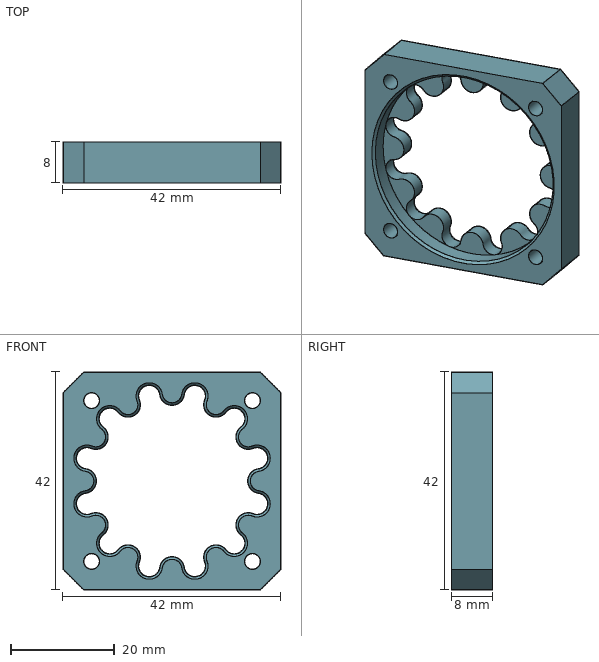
import cadquery as cq
import math

side = 42.0
thickness = 8.0
corner_cut = 4.0

hole_diameter = 3.0
hole_spacing = 31.0

lobe_count = 12
bore_diameter = 38.0
pitch_radius = 16.95
notch_radius = bore_diameter / 2 - pitch_radius
half_pitch = math.pi / lobe_count
center_distance = 2 * pitch_radius * math.sin(half_pitch / 2)
tooth_radius = center_distance - notch_radius
lobe_depth = thickness / 2

rim_chamfer = 0.5


def polar(radius, angle):
    return (radius * math.cos(angle), radius * math.sin(angle))


def tangent_point(notch_angle, tooth_angle):
    """Point where a notch arc meets the neighbouring tooth arc."""
    notch_x, notch_z = polar(pitch_radius, notch_angle)
    tooth_x, tooth_z = polar(pitch_radius, tooth_angle)
    share = notch_radius / center_distance
    return (notch_x + share * (tooth_x - notch_x), notch_z + share * (tooth_z - notch_z))


def lobed_outline(workplane):
    """Closed outline alternating outward notches and inward teeth."""
    outline = workplane.moveTo(*tangent_point(half_pitch, 0))
    for index in range(lobe_count):
        notch_angle = (2 * index + 1) * half_pitch
        tooth_angle = notch_angle + half_pitch
        next_notch_angle = tooth_angle + half_pitch
        outline = outline.threePointArc(
            polar(pitch_radius + notch_radius, notch_angle),
            tangent_point(notch_angle, tooth_angle),
        )
        outline = outline.threePointArc(
            polar(pitch_radius - tooth_radius, tooth_angle),
            tangent_point(next_notch_angle, tooth_angle),
        )
    return outline.close()


def make_body():
    """Plate from Y = 0 (front) to Y = thickness, with its four corners cut."""
    plate = cq.Workplane("XZ").rect(side, side).extrude(-thickness)
    return plate.edges("|Y").chamfer(corner_cut)


def cut_lobes(body):
    """Lobed opening through the plate, chamfered at the front."""
    opening = lobed_outline(cq.Workplane("XZ")).extrude(-thickness)
    opened = body.cut(opening)
    rim = opened.faces("<Y").edges("%CIRCLE")
    return rim.chamfer(rim_chamfer)


def cut_rear_bore(body):
    """Round bore behind the lobes, chamfered at the rear."""
    bore = cq.Workplane("XZ", origin=(0, lobe_depth, 0)).circle(bore_diameter / 2)
    bored = body.cut(bore.extrude(lobe_depth - thickness))
    return bored.faces(">Y").edges("%CIRCLE").chamfer(rim_chamfer)


def cut_screw_holes(body):
    holes = cq.Workplane("XZ").rect(hole_spacing, hole_spacing, forConstruction=True).vertices()
    return body.cut(holes.circle(hole_diameter / 2).extrude(-thickness))


result = cut_screw_holes(cut_rear_bore(cut_lobes(make_body())))